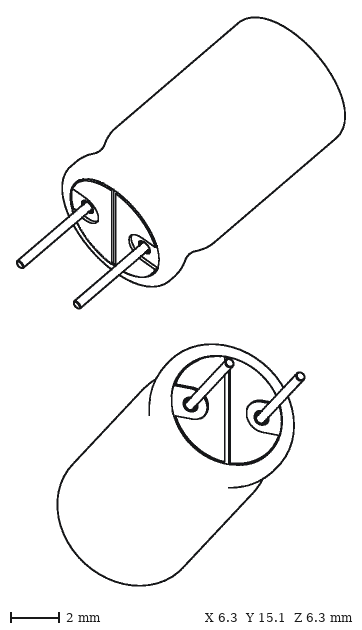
import cadquery as cq
import math

total_length = 15.1
can_length = 11.0
can_diameter = 6.3
can_radius = can_diameter / 2
rim_radius = 0.33

crimp_offset = 1.87
crimp_depth = 0.3
crimp_half_width = 1.24
crimp_hollow_half_width = 0.72

recess_diameter = 5.0
recess_depth = 0.08
pad_diameter = 4.9
pad_height = 0.14
pad_gap = 0.24
notch_radius = 0.74

lead_pitch = 3.2
lead_diameter = 0.4
lead_tip_chamfer = 0.03
well_diameter = 0.62
well_depth = 0.06
well_mouth_chamfer = 0.02
bore_diameter = 0.47
bore_depth = 0.06

far_end = total_length / 2
lead_tip = -total_length / 2
base_face = far_end - can_length
recess_floor = base_face + recess_depth
pad_face = recess_floor - pad_height
well_floor = recess_floor + well_depth
bore_floor = well_floor + bore_depth
crimp_center = base_face + crimp_offset
lead_places = (-lead_pitch / 2, lead_pitch / 2)


def cylinder_along_y(diameter, y_start, y_end, x=0.0):
    """Cylinder parallel to Y between two Y places."""
    base = cq.Workplane("XZ", origin=(x, y_start, 0))
    return base.circle(diameter / 2).extrude(y_start - y_end)


def make_can():
    """Revolved can: three tangent arcs form the crimp, and both rims are rounded."""
    turn = 2 * math.atan(crimp_depth / crimp_half_width)
    hollow_radius = crimp_hollow_half_width / math.sin(turn)
    shoulder_radius = (crimp_half_width - crimp_hollow_half_width) / math.sin(turn)
    throat_radius = can_radius - crimp_depth
    shoulder_drop = shoulder_radius * (1 - math.cos(turn))
    shoulder_mid_drop = shoulder_radius * (1 - math.cos(turn / 2))
    shoulder_mid = crimp_half_width - shoulder_radius * math.sin(turn / 2)
    joint_radius = can_radius - shoulder_drop

    profile = (
        cq.Workplane("XY")
        .moveTo(0, base_face)
        .lineTo(can_radius, base_face)
        .lineTo(can_radius, crimp_center - crimp_half_width)
        .threePointArc(
            (can_radius - shoulder_mid_drop, crimp_center - shoulder_mid),
            (joint_radius, crimp_center - crimp_hollow_half_width),
        )
        .threePointArc(
            (throat_radius, crimp_center),
            (joint_radius, crimp_center + crimp_hollow_half_width),
        )
        .threePointArc(
            (can_radius - shoulder_mid_drop, crimp_center + shoulder_mid),
            (can_radius, crimp_center + crimp_half_width),
        )
        .lineTo(can_radius, far_end)
        .lineTo(0, far_end)
        .close()
    )
    can = profile.revolve(360, (0, 0, 0), (0, 1, 0))
    return can.faces("<Y or >Y").edges().fillet(rim_radius)


def make_pads():
    """Disc split by a central gap, with a round-ended notch around each lead."""
    disc = cylinder_along_y(pad_diameter, recess_floor, pad_face)
    pad_middle = (recess_floor + pad_face) / 2
    gap = cq.Workplane("XY").box(pad_gap, pad_height, pad_diameter).translate((0, pad_middle, 0))
    pads = disc.cut(gap)
    for x in lead_places:
        round_end = cylinder_along_y(2 * notch_radius, recess_floor, pad_face, x)
        outward = math.copysign(pad_diameter / 2, x)
        opening = cq.Workplane("XY").box(pad_diameter, pad_height, 2 * notch_radius)
        pads = pads.cut(round_end).cut(opening.translate((x + outward, pad_middle, 0)))
    return pads


def make_well(x):
    """Cutter for one well: a chamfered mouth, the well itself and a narrower bore."""
    mouth_diameter = well_diameter + 2 * well_mouth_chamfer
    mouth = (
        cq.Workplane("XZ", origin=(x, recess_floor, 0))
        .circle(mouth_diameter / 2)
        .workplane(offset=-well_mouth_chamfer)
        .circle(well_diameter / 2)
        .loft()
    )
    well = cylinder_along_y(well_diameter, well_floor, recess_floor, x)
    bore = cylinder_along_y(bore_diameter, bore_floor, well_floor, x)
    return mouth.union(well).union(bore)


def make_lead(x):
    """Straight lead with a chamfered tip, rooted in the floor of its bore."""
    lead = cylinder_along_y(lead_diameter, bore_floor, lead_tip, x)
    return lead.faces("<Y").chamfer(lead_tip_chamfer)


result = make_can().cut(cylinder_along_y(recess_diameter, recess_floor, base_face))
result = result.union(make_pads())
for lead_x in lead_places:
    result = result.cut(make_well(lead_x)).union(make_lead(lead_x))